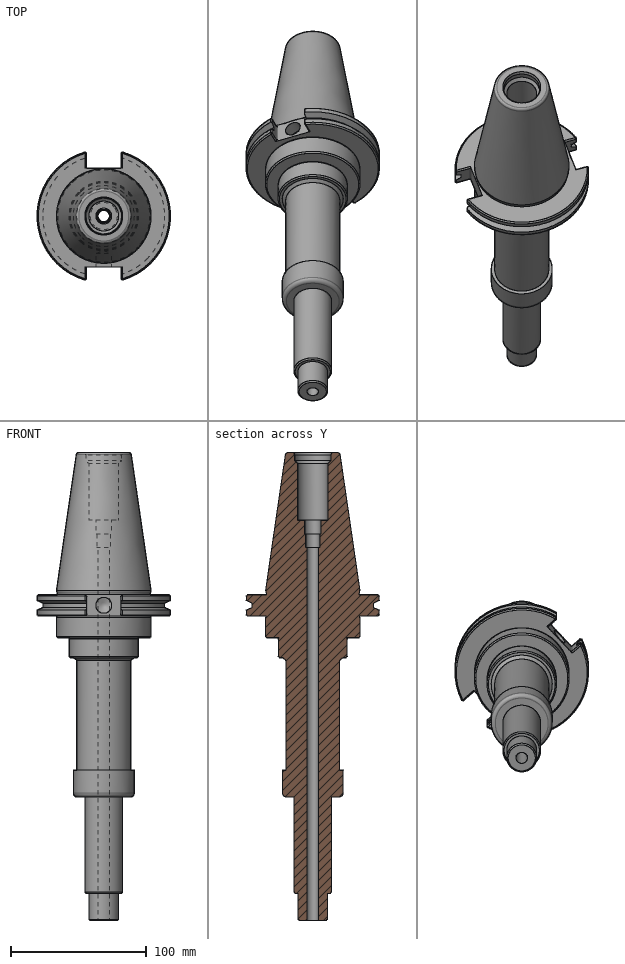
import cadquery as cq
import math

GAUGE_DIAMETER = 69.85
TAPER_LENGTH = 101.6
TAPER_RATIO = 7 / 24
TAPER_TOP_FILLET = 2.0
TAPER_SMALL_DIAMETER = GAUGE_DIAMETER - TAPER_RATIO * TAPER_LENGTH
TAPER_RELIEF_HEIGHT = 2.2

RELIEF_DEPTH = 0.5
RELIEF_HEIGHT = 1.0

TOLERANCE = 0.01

FLANGE_DIAMETER = 98.425
FLANGE_TOP_Z = -3.175
FLANGE_BOTTOM_Z = -19.05
GROOVE_CENTER_Z = -11.1
GROOVE_DEPTH = 4.3
GROOVE_MOUTH = 7.0
GROOVE_HALF_ANGLE = 25

SLOT_WIDTH = 25.7
FLANGE_EDGE_CHAMFER = 1.0
SLOT_CORNER_RADIUS = 0.5
FRONT_SLOT_FLOOR = 37.7
REAR_SLOT_FLOOR = 35.3

PIT_DIAMETER = 11.7
PIT_DEPTH = 10.0
DRILL_POINT_ANGLE = 140

BODY_BOTTOM_Z = -35.05
BODY_CHAMFER = 1.0
NECK_DIAMETER = 51.2
NECK_BOTTOM_Z = -49.8
NECK_CHAMFER = 1.0
FLARE_HEIGHT = 1.8
FLARE_WIDTH = 2.5
BAR_DIAMETER = 40.0
COLLAR_DIAMETER = 45.0
COLLAR_BOTTOM_Z = -152.5
COLLAR_LENGTH = 20.0
COLLAR_TOP_Z = COLLAR_BOTTOM_Z + COLLAR_LENGTH
COLLAR_FILLET = 3.0
SHAFT_DIAMETER = 28.0
TIP_DIAMETER = 22.0
TIP_LENGTH = 20.0
OVERALL_LENGTH = 345.1
TIP_BOTTOM_Z = TAPER_LENGTH - OVERALL_LENGTH
SHAFT_BOTTOM_Z = TIP_BOTTOM_Z + TIP_LENGTH
END_CHAMFER = 1.0

MOUTH_DIAMETER = 28.0
MOUTH_DEPTH = 2.0
COUNTERBORE_DIAMETER = 26.4
COUNTERBORE_DEPTH = 6.0
BORE_DIAMETER = 22.0
BORE_DEPTH = 50.0
UPPER_STEP_DIAMETER = 11.7
LOWER_STEP_DIAMETER = 10.0
STEP_DEPTH = 10.0
PASSAGE_DIAMETER = 8.35


def cylinder(diameter, bottom, top):
    return cq.Workplane("XY").workplane(offset=bottom).circle(diameter / 2).extrude(top - bottom)


def frustum(bottom_diameter, top_diameter, bottom, top):
    solid = cq.Solid.makeCone(
        bottom_diameter / 2, top_diameter / 2, top - bottom, pnt=cq.Vector(0, 0, bottom)
    )
    return cq.Workplane(obj=solid)


def taper():
    cone = frustum(GAUGE_DIAMETER, TAPER_SMALL_DIAMETER, 0, TAPER_LENGTH)
    cone = cone.faces(">Z").edges().fillet(TAPER_TOP_FILLET)
    relief_diameter = GAUGE_DIAMETER - 2 * RELIEF_DEPTH
    relief = frustum(relief_diameter, GAUGE_DIAMETER, -TAPER_RELIEF_HEIGHT, 0)
    base = cylinder(relief_diameter, FLANGE_TOP_Z, -TAPER_RELIEF_HEIGHT)
    return cone.union(relief).union(base)


def groove_cutter():
    outer = FLANGE_DIAMETER / 2
    root = outer - GROOVE_DEPTH
    half_mouth = GROOVE_MOUTH / 2
    half_root = half_mouth - GROOVE_DEPTH * math.tan(math.radians(GROOVE_HALF_ANGLE))
    return (
        cq.Workplane("XZ")
        .moveTo(outer, GROOVE_CENTER_Z - half_mouth)
        .lineTo(root, GROOVE_CENTER_Z - half_root)
        .lineTo(root, GROOVE_CENTER_Z + half_root)
        .lineTo(outer, GROOVE_CENTER_Z + half_mouth)
        .close()
        .revolve(360, (0, 0, 0), (0, 1, 0))
    )


def slot_cutter(side, floor):
    """Slot on the -Y (side = -1) or +Y (side = 1) edge."""
    length = FLANGE_DIAMETER / 2
    mid_z = (FLANGE_TOP_Z + FLANGE_BOTTOM_Z) / 2
    slot = cq.Workplane("XY").box(SLOT_WIDTH, length, FLANGE_TOP_Z - FLANGE_BOTTOM_Z)
    return slot.translate((0, side * (floor + length / 2), mid_z))


def is_slot_floor_edge(edge):
    """True for every straight edge of a slot floor, including its two upright corners."""
    floor = FRONT_SLOT_FLOOR if edge.Center().y < 0 else REAR_SLOT_FLOOR
    return edge.geomType() == "LINE" and abs(abs(edge.Center().y) - floor) < TOLERANCE


def flange():
    disc = cylinder(FLANGE_DIAMETER, FLANGE_BOTTOM_Z, FLANGE_TOP_Z)
    disc = disc.cut(slot_cutter(-1, FRONT_SLOT_FLOOR))
    disc = disc.cut(slot_cutter(1, REAR_SLOT_FLOOR))
    outer_edges = [e for e in disc.edges().vals() if not is_slot_floor_edge(e)]
    disc = disc.newObject(outer_edges).chamfer(FLANGE_EDGE_CHAMFER)
    corners = [e for e in disc.edges("|Z").vals() if is_slot_floor_edge(e)]
    disc = disc.newObject(corners).fillet(SLOT_CORNER_RADIUS)
    return disc.cut(groove_cutter())


def relieved_cylinder(diameter, bottom, top, chamfer):
    """Cylinder with a shallow conical relief at its top and a chamfer at its bottom."""
    relief_bottom = top - RELIEF_HEIGHT
    main = cylinder(diameter, bottom, relief_bottom).faces("<Z").chamfer(chamfer)
    return main.union(frustum(diameter, diameter - 2 * RELIEF_DEPTH, relief_bottom, top))


def shank():
    body = relieved_cylinder(GAUGE_DIAMETER, BODY_BOTTOM_Z, FLANGE_BOTTOM_Z, BODY_CHAMFER)
    neck = relieved_cylinder(NECK_DIAMETER, NECK_BOTTOM_Z, BODY_BOTTOM_Z, NECK_CHAMFER)
    flare_diameter = BAR_DIAMETER + 2 * FLARE_WIDTH
    flare = frustum(BAR_DIAMETER, flare_diameter, NECK_BOTTOM_Z - FLARE_HEIGHT, NECK_BOTTOM_Z)
    bar = cylinder(BAR_DIAMETER, COLLAR_TOP_Z, NECK_BOTTOM_Z)
    collar = cylinder(COLLAR_DIAMETER, COLLAR_BOTTOM_Z, COLLAR_TOP_Z)
    collar = collar.faces("<Z").edges().fillet(COLLAR_FILLET)
    shaft = cylinder(SHAFT_DIAMETER, SHAFT_BOTTOM_Z, COLLAR_BOTTOM_Z).faces("<Z").chamfer(END_CHAMFER)
    tip = cylinder(TIP_DIAMETER, TIP_BOTTOM_Z, SHAFT_BOTTOM_Z).faces("<Z").chamfer(END_CHAMFER)
    return body.union(neck).union(flare).union(bar).union(collar).union(shaft).union(tip)


def bore():
    top = TAPER_LENGTH
    seat_top = top - COUNTERBORE_DEPTH
    seat_bottom = seat_top - (COUNTERBORE_DIAMETER - BORE_DIAMETER) / 2
    bore_floor = top - BORE_DEPTH
    step_floor = bore_floor - STEP_DEPTH
    mouth = frustum(COUNTERBORE_DIAMETER, MOUTH_DIAMETER, top - MOUTH_DEPTH, top)
    counterbore = cylinder(COUNTERBORE_DIAMETER, seat_top, top)
    seat = frustum(BORE_DIAMETER, COUNTERBORE_DIAMETER, seat_bottom, seat_top)
    main = cylinder(BORE_DIAMETER, bore_floor, top)
    upper_step = cylinder(UPPER_STEP_DIAMETER, step_floor, bore_floor)
    lower_step = cylinder(LOWER_STEP_DIAMETER, step_floor - STEP_DEPTH, step_floor)
    passage = cylinder(PASSAGE_DIAMETER, TIP_BOTTOM_Z, top)
    return mouth.union(counterbore).union(seat).union(main).union(upper_step).union(lower_step).union(passage)


def pit():
    radius = PIT_DIAMETER / 2
    point_height = radius / math.tan(math.radians(DRILL_POINT_ANGLE / 2))
    floor_y = -FRONT_SLOT_FLOOR
    shoulder_y = floor_y + PIT_DEPTH
    return (
        cq.Workplane("YZ")
        .moveTo(floor_y, GROOVE_CENTER_Z)
        .lineTo(floor_y, GROOVE_CENTER_Z + radius)
        .lineTo(shoulder_y, GROOVE_CENTER_Z + radius)
        .lineTo(shoulder_y + point_height, GROOVE_CENTER_Z)
        .close()
        .revolve(360, (0, GROOVE_CENTER_Z, 0), (1, GROOVE_CENTER_Z, 0))
    )


result = taper().union(flange()).union(shank()).cut(bore()).cut(pit())